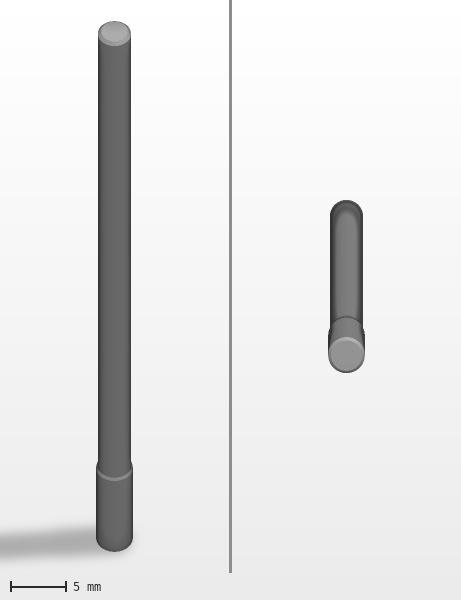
import cadquery as cq

total_length = 70.0

rod_diameter = 3.0
rod_end_chamfer = 0.3

tip_diameter = 3.32
tip_end_chamfer = 0.25
tip_shoulder_height = 10.0
tip_taper_height = 0.3
tip_length = tip_shoulder_height + tip_taper_height


def make_rod():
    """Plain round rod standing on the tip, chamfered at its free upper end."""
    rod_length = total_length - tip_length
    rod = cq.Workplane("XY", origin=(0, 0, tip_length)).circle(rod_diameter / 2).extrude(rod_length)
    return rod.faces(">Z").chamfer(rod_end_chamfer)


def make_tip():
    """Round tip, chamfered at its lower end and tapering to the rod diameter at its top."""
    rod_radius = rod_diameter / 2
    tip_radius = tip_diameter / 2
    half_profile = (
        cq.Workplane("XZ")
        .moveTo(0, 0)
        .lineTo(tip_radius - tip_end_chamfer, 0)
        .lineTo(tip_radius, tip_end_chamfer)
        .lineTo(tip_radius, tip_shoulder_height)
        .lineTo(rod_radius, tip_length)
        .lineTo(0, tip_length)
        .close()
    )
    return half_profile.revolve(360, (0, 0, 0), (0, 1, 0))


rod = make_rod()
tip = make_tip()

result = cq.Compound.makeCompound([rod.val(), tip.val()])